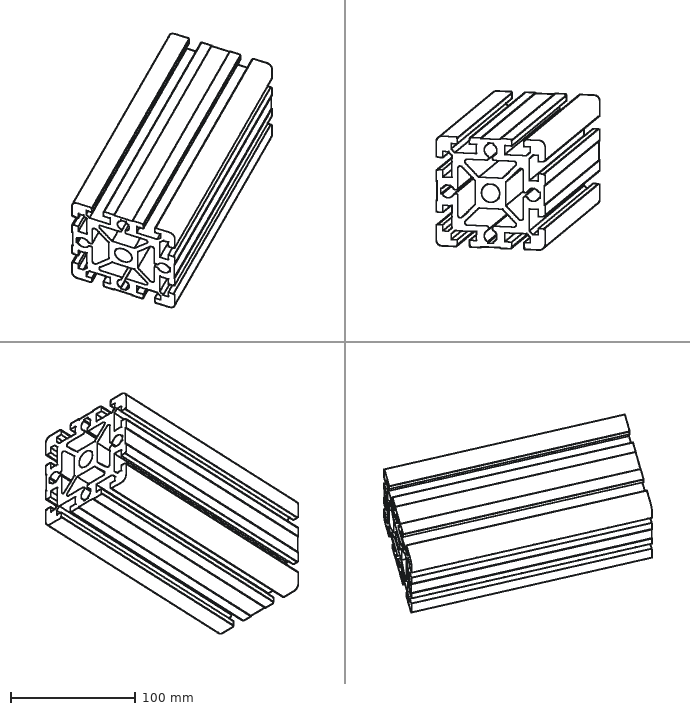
import cadquery as cq
import math

side = 90.0
length = 200.0
half_side = side / 2
corner_radius = 5.0

slot_pitch = side / 2
slot_mouth = 10.0
slot_depth = 13.0
lip_thickness = 5.5
lip_radius = 0.5
ledge_width = 0.5
ledge_depth = 1.2
slot_inner_wall = 11.5
slot_outer_wall = 32.5
slot_corner_chamfer = 3.0

relief_width = 16.0
relief_depth = 0.5

hub_side = 25.5
bore_diameter = 15.0
frame_inner = 27.0
web_thickness = 4.2
chamber_radius = 2.0

channel_offset = 35.2
channel_diameter = 10.5
channel_notch_width = 4.5
channel_notch_top = 41.0
neck_width = 3.2
neck_radius = 1.5


def prism(outline):
    """Extrude a closed outline along the full length, centred on Y = 0."""
    return outline.extrude(length / 2, both=True)


def section():
    """Sketch plane of the profile, with X across and Z up."""
    return cq.Workplane("XZ")


def box_between(x_min, x_max, z_min, z_max):
    """Full-length bar with the given rectangular section."""
    return prism(section().moveTo(x_min, z_min).lineTo(x_max, z_min)
                 .lineTo(x_max, z_max).lineTo(x_min, z_max).close())


def t_slot():
    """Right-hand T-slot of the top face, with a rounded, stepped edge on both sides of its mouth."""
    centre = slot_pitch / 2
    left = centre - slot_mouth / 2
    right = centre + slot_mouth / 2
    left_ledge = left - ledge_width
    right_ledge = right + ledge_width
    ledge = half_side - ledge_depth
    floor = half_side - slot_depth
    roof = half_side - lip_thickness
    arc_mid = lip_radius * (1 - math.sqrt(0.5))
    return prism(
        section()
        .moveTo(left_ledge - lip_radius, half_side)
        .threePointArc((left_ledge - arc_mid, half_side - arc_mid),
                       (left_ledge, half_side - lip_radius))
        .lineTo(left_ledge, ledge)
        .lineTo(left, ledge)
        .lineTo(left, roof)
        .lineTo(slot_inner_wall, roof)
        .lineTo(slot_inner_wall, floor)
        .lineTo(slot_outer_wall - slot_corner_chamfer, floor)
        .lineTo(slot_outer_wall, floor + slot_corner_chamfer)
        .lineTo(slot_outer_wall, roof)
        .lineTo(right, roof)
        .lineTo(right, ledge)
        .lineTo(right_ledge, ledge)
        .lineTo(right_ledge, half_side - lip_radius)
        .threePointArc((right_ledge + arc_mid, half_side - arc_mid),
                       (right_ledge + lip_radius, half_side))
        .close()
    )


def chamber_with_channel():
    """Trapezoidal chamber above the hub, joined by a rounded neck to the screw channel."""
    hub_half = hub_side / 2
    web_shift = web_thickness / math.sqrt(2)
    bottom = hub_half - web_shift
    top = frame_inner - web_shift
    chamber = prism(
        section()
        .moveTo(-bottom, hub_half)
        .lineTo(bottom, hub_half)
        .lineTo(top, frame_inner)
        .lineTo(-top, frame_inner)
        .close()
    )
    chamber = chamber.edges("|Y and >X or |Y and <X").fillet(chamber_radius)

    channel = prism(section().center(0, channel_offset).circle(channel_diameter / 2))
    neck = box_between(-neck_width / 2, neck_width / 2, hub_half, channel_offset)
    notch = box_between(-channel_notch_width / 2, channel_notch_width / 2,
                        channel_offset, channel_notch_top)
    void = chamber.union(neck).union(channel)

    neck_zone = cq.selectors.BoxSelector(
        (-neck_width, -length, frame_inner - neck_radius),
        (neck_width, length, channel_offset),
    )
    return void.edges("|Y").edges(neck_zone).fillet(neck_radius).union(notch)


def face_cuts():
    """Everything removed from the top quarter of the section."""
    slot = t_slot()
    relief = box_between(-relief_width / 2, relief_width / 2, half_side - relief_depth, half_side)
    return [slot, slot.mirror("YZ"), relief, chamber_with_channel()]


result = prism(section().rect(side, side)).edges("|Y").fillet(corner_radius)
result = result.cut(prism(section().circle(bore_diameter / 2)))
face_count = 4
for void in face_cuts():
    for face in range(face_count):
        result = result.cut(void.rotate((0, 0, 0), (0, 1, 0), face * 360 / face_count))